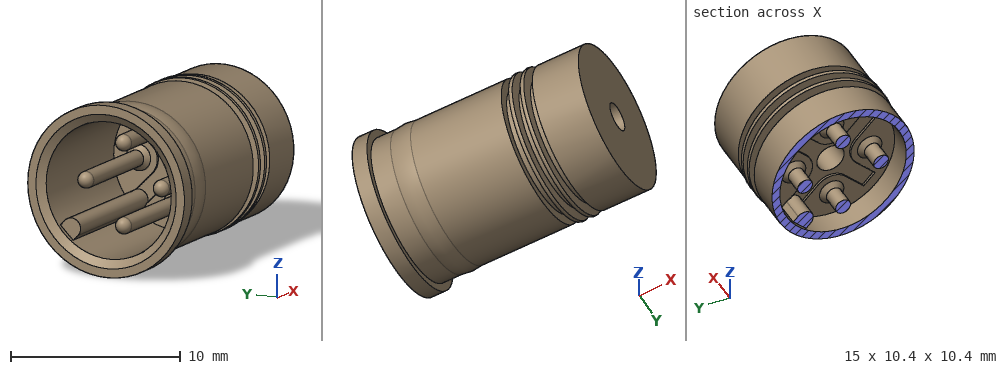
import cadquery as cq
import math

length = 15.0
flange_radius = 10.4 / 2
flange_width = 1.0
body_radius = 9.4 / 2

bead_start = 2.32
bead_end = 3.68
bead_height = 0.08
bead_crown_radius = body_radius + bead_height

groove_start = 9.8
groove_end = 11.9
groove_radius = 8.1 / 2
fin_positions = (10.45, 11.24)
fin_base_width = 0.36
fin_tip_width = 0.24
fin_tip_round = 0.03
fin_radius = 9.6 / 2
fin_root_overlap = 0.15

bore_radius = 8.3 / 2
bore_depth = 9.0
mouth_radius = 9.3 / 2
mouth_depth = 0.35
center_hole_radius = 1.8 / 2

pin_count = 4
pin_circle_radius = 2.5
pin_radius = 1.0 / 2
pin_tip_x = 1.8
collar_radius = 1.6 / 2
collar_height = 0.3

cross_relief_radius = 1.25
cross_arm_reach = 3.51
cross_depth = 0.15
cross_half_width = pin_circle_radius * math.sin(math.pi / 4) - cross_relief_radius

key_radius = 0.6
key_center_radius = 3.6
key_flat_radius = 4.05
key_start_x = 0.5
key_angle = -45


def revolve_x(profile):
    """Solid of revolution about X from a closed profile of X and radius."""
    return profile.close().revolve(360, (0, 0, 0), (1, 0, 0))


def make_sleeve():
    """Solid outer body with its flange, bead and sealing groove."""
    bead_middle = (bead_start + bead_end) / 2
    profile = (
        cq.Workplane("XY")
        .lineTo(0, flange_radius)
        .lineTo(flange_width, flange_radius)
        .lineTo(flange_width, body_radius)
        .lineTo(bead_start, body_radius)
        .threePointArc((bead_middle, bead_crown_radius), (bead_end, body_radius))
        .lineTo(groove_start, body_radius)
        .lineTo(groove_start, groove_radius)
        .lineTo(groove_end, groove_radius)
        .lineTo(groove_end, body_radius)
        .lineTo(length, body_radius)
        .lineTo(length, 0)
    )
    return revolve_x(profile)


def make_fin(middle):
    """Tapered sealing fin with a rounded rim, rooted below the groove floor."""
    shoulder_radius = fin_radius - fin_tip_round
    root_radius = groove_radius - fin_root_overlap
    profile = (
        cq.Workplane("XY")
        .moveTo(middle - fin_base_width / 2, root_radius)
        .lineTo(middle - fin_base_width / 2, groove_radius)
        .lineTo(middle - fin_tip_width / 2, shoulder_radius)
        .threePointArc((middle, fin_radius), (middle + fin_tip_width / 2, shoulder_radius))
        .lineTo(middle + fin_base_width / 2, groove_radius)
        .lineTo(middle + fin_base_width / 2, root_radius)
    )
    return revolve_x(profile)


def make_cavity():
    """Bore with a tapered mouth."""
    profile = (
        cq.Workplane("XY")
        .lineTo(0, mouth_radius)
        .lineTo(mouth_depth, bore_radius)
        .lineTo(bore_depth, bore_radius)
        .lineTo(bore_depth, 0)
    )
    return revolve_x(profile)


def pin_angles():
    """Evenly spaced pin directions in degrees about X, starting at +Y."""
    return [index * 360 / pin_count for index in range(pin_count)]


def make_cross():
    """Diagonal cross whose inner corners are rounded concentrically with the pins."""
    floor = cq.Workplane("YZ", origin=(bore_depth, 0, 0))
    arm_size = (2 * cross_arm_reach, 2 * cross_half_width)
    hub_side = 2 * pin_circle_radius * math.sin(math.pi / 4)
    cross = floor.rect(hub_side, hub_side).extrude(cross_depth)
    cross = cross.rotate((0, 0, 0), (1, 0, 0), 45)
    for angle in pin_angles():
        relief = floor.center(pin_circle_radius, 0).circle(cross_relief_radius).extrude(cross_depth)
        cross = cross.cut(relief.rotate((0, 0, 0), (1, 0, 0), angle))
    for angle in (45, -45):
        arm = floor.rect(*arm_size).extrude(cross_depth)
        cross = cross.union(arm.rotate((0, 0, 0), (1, 0, 0), angle))
    return cross


def make_pin():
    """Round-nosed pin on the X axis with a conical collar at the cavity floor."""
    nose_end = pin_tip_x + pin_radius
    nose_middle = (nose_end - pin_radius * math.sqrt(0.5), pin_radius * math.sqrt(0.5))
    profile = (
        cq.Workplane("XY")
        .moveTo(pin_tip_x, 0)
        .threePointArc(nose_middle, (nose_end, pin_radius))
        .lineTo(bore_depth - collar_height, pin_radius)
        .lineTo(bore_depth, collar_radius)
        .lineTo(bore_depth + cross_depth, collar_radius)
        .lineTo(bore_depth + cross_depth, 0)
    )
    return revolve_x(profile)


def make_key():
    """Coding bar standing on the cross recess, clear of the cavity wall."""
    profile = (
        cq.Workplane("YZ", origin=(key_start_x, 0, 0))
        .moveTo(key_flat_radius, key_radius)
        .lineTo(key_center_radius, key_radius)
        .threePointArc(
            (key_center_radius - key_radius, 0),
            (key_center_radius, -key_radius),
        )
        .lineTo(key_flat_radius, -key_radius)
        .close()
    )
    bar = profile.extrude(bore_depth + cross_depth - key_start_x)
    return bar.rotate((0, 0, 0), (1, 0, 0), key_angle)


result = make_sleeve()
for position in fin_positions:
    result = result.union(make_fin(position))
result = result.cut(make_cavity())
result = result.cut(make_cross())
for angle in pin_angles():
    pin = make_pin().translate((0, pin_circle_radius, 0))
    result = result.union(pin.rotate((0, 0, 0), (1, 0, 0), angle))
result = result.union(make_key())
result = result.cut(cq.Workplane("YZ").circle(center_hole_radius).extrude(length))